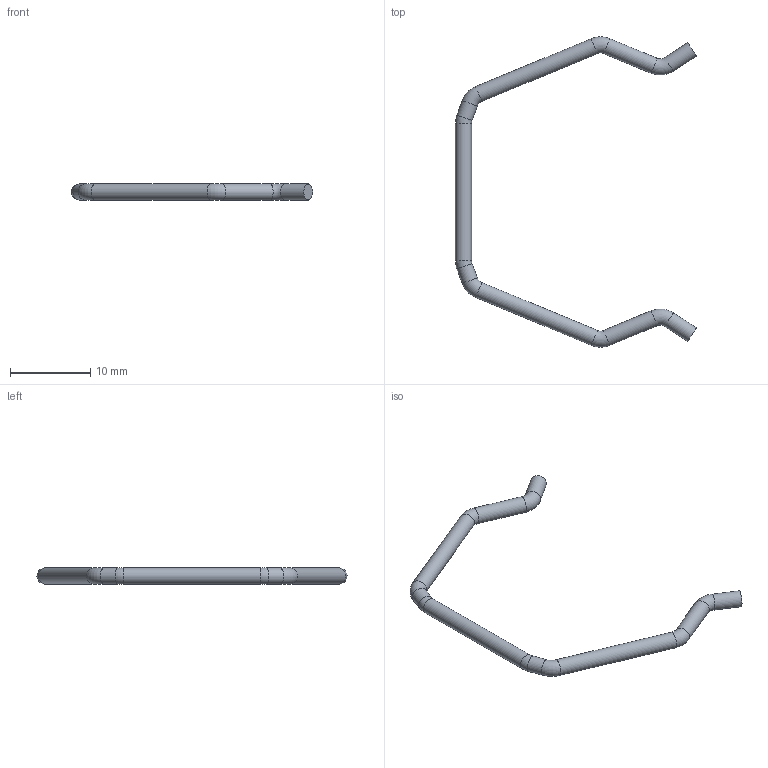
import cadquery as cq
import math

wire_diameter = 2.0
bend_radius = 2.0
overall_length = 30.04
overall_width = 38.66

corner_y = 8.91
corner_leg_length = 3.15
corner_leg_angle = 70.0
arm_angle = 22.5
return_angle = -22.5
tip_angle = 33.0
return_leg_run = 7.65

wire_radius = wire_diameter / 2


def slope(angle):
    return math.tan(math.radians(angle))


def bend_points():
    """Sharp corners of the wire axis on the +Y half, from the spine to the tip."""
    heading = math.radians(corner_leg_angle)
    corner = (0, corner_y)
    arm_start = (
        corner_leg_length * math.cos(heading),
        corner_y + corner_leg_length * math.sin(heading),
    )

    bend_center_y = overall_width / 2 - wire_radius - bend_radius
    half_turn = math.radians((arm_angle - return_angle) / 2)
    peak_y = bend_center_y + bend_radius / math.cos(half_turn)
    peak = (arm_start[0] + (peak_y - arm_start[1]) / slope(arm_angle), peak_y)

    valley = (peak[0] + return_leg_run, peak_y + return_leg_run * slope(return_angle))

    tip_x = overall_length - wire_radius - wire_radius * math.sin(math.radians(tip_angle))
    tip = (tip_x, valley[1] + (tip_x - valley[0]) * slope(tip_angle))
    return [corner, arm_start, peak, valley, tip]


def rounded_path(points):
    """Wire through the points with an arc of bend_radius at every inner point."""
    vectors = [cq.Vector(x, y, 0) for x, y in points]
    edges = []
    start = vectors[0]
    for before, bend, after in zip(vectors, vectors[1:], vectors[2:]):
        incoming = (bend - before).normalized()
        outgoing = (after - bend).normalized()
        half_turn = incoming.getAngle(outgoing) / 2
        setback = bend_radius * math.tan(half_turn)
        arc_start = bend - incoming * setback
        arc_end = bend + outgoing * setback
        inward = (outgoing - incoming).normalized()
        arc_middle = bend + inward * (bend_radius / math.cos(half_turn) - bend_radius)
        edges.append(cq.Edge.makeLine(start, arc_start))
        edges.append(cq.Edge.makeThreePointArc(arc_start, arc_middle, arc_end))
        start = arc_end
    edges.append(cq.Edge.makeLine(start, vectors[-1]))
    return cq.Wire.assembleEdges(edges)


upper_half = bend_points()
lower_half = [(x, -y) for x, y in reversed(upper_half)]
axis_points = lower_half + upper_half
axis_path = rounded_path(axis_points)

end_plane = cq.Plane(
    origin=axis_path.startPoint().toTuple(),
    xDir=(0, 0, 1),
    normal=axis_path.tangentAt(0).toTuple(),
)
result = cq.Workplane(end_plane).circle(wire_radius).sweep(cq.Workplane(axis_path))